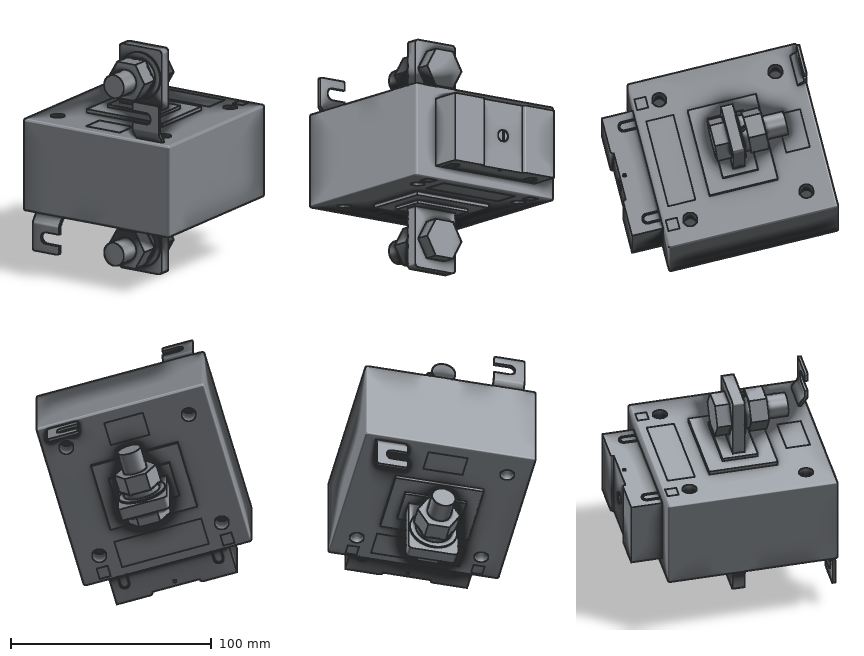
import cadquery as cq
import math


HOUSING_SIZE = 87.0
HOUSING_HEIGHT = 47.9
HOUSING_EDGE_RADIUS = 1.3
FACE_Z = HOUSING_HEIGHT / 2
FRONT_Y = -HOUSING_SIZE / 2
BACK_Y = HOUSING_SIZE / 2

LOWER_PAD_X = 45.0
LOWER_PAD_Y = 35.1
LOWER_PAD_THICKNESS = 1.9
UPPER_PAD_X = 31.3
UPPER_PAD_Y = 18.0
UPPER_PAD_THICKNESS = 1.5

CORNER_HOLE_DIAMETER = 7.1
CORNER_HOLE_DEPTH = 11.6
CORNER_HOLE_X = 31.7
CORNER_HOLE_Y = 29.8
LABEL_DEPTH = 0.1
NAMEPLATE_Y_SIZE = 14.0
NAMEPLATE_Y = 31.8
BAR_LABEL_X_SIZE = 20.0
BAR_LABEL_Y_SIZE = 12.1
BAR_LABEL_Y = -31.0
WIRE_LABEL_SIZE = 5.7
WIRE_LABEL_X = 32.0
WIRE_LABEL_Y = 38.9

BLOCK_X = 62.2
BLOCK_DEPTH = 16.0
BLOCK_HEIGHT = 34.4
BLOCK_BACK_Y = BACK_Y + BLOCK_DEPTH
NOTCH_WIDTH = 24.5
NOTCH_DEPTH = 1.5
NOTCH_EDGE_RADIUS = 1.4
SEAL_HOLE_DIAMETER = 1.5
SEAL_HOLE_Y = 55.6
SCREW_HEAD_DIAMETER = 5.9
SCREW_HEAD_HEIGHT = 0.7
SCREW_HEAD_RADIUS = 0.3
SCREW_SLOT_WIDTH = 0.9
KNOCKOUT_X = 24.3
KNOCKOUT_OUTER_WIDTH = 5.2
KNOCKOUT_INNER_WIDTH = 3.8
KNOCKOUT_STRAIGHT = 6.4
KNOCKOUT_GROOVE_DEPTH = 0.3

BAR_LENGTH = 116.5
BAR_WIDTH = 25.2
BAR_THICKNESS = 6.0
BAR_CORNER_RADIUS = 2.0

BOLT_Z = 43.6
BOLT_DIAMETER = 11.9
HEX_ACROSS_FLATS = 18.8
HEX_ACROSS_CORNERS = HEX_ACROSS_FLATS / math.cos(math.pi / 6)
HEAD_HEIGHT = 7.5
BOLT_LENGTH = 30.0
WASHER_DIAMETER = 24.0
WASHER_THICKNESS = 0.8
SPRING_RING_DIAMETER = 18.3
SPRING_RING_THICKNESS = 3.0
SPRING_GAP = 1.9
SPRING_GAP_ANGLE = 25.0
NUT_HEIGHT = 9.1

STRIP_THICKNESS = 1.5
BRACKET_X_MIN = 22.0
BRACKET_X_MAX = 37.6
BRACKET_TOP_Z = 43.6
BRACKET_CORNER_RADIUS = 1.2
UPPER_BEND_Z = 29.6
BEND_RADIUS = 1.5 * STRIP_THICKNESS
BEND_ANGLE = math.radians(38)
BRACKET_SLOT_WIDTH = 6.0
BRACKET_SLOT_Z = 36.0
BRACKET_SLOT_END_X = 32.7


def both_faces(feature):
    """A feature at the top of the housing, with its copy turned half a turn about Y."""
    return feature.add(feature.rotate((0, 0, 0), (0, 1, 0), 180)).combine()


def face_plate(x_size, y_size, thickness, bottom_z, x=0, y=0):
    plate = cq.Workplane("XY").box(x_size, y_size, thickness, centered=(True, True, False))
    return plate.translate((x, y, bottom_z))


def block_notch():
    """The wide shallow notch in the back of the wiring block, with rounded mouth edges."""
    half_width = NOTCH_WIDTH / 2
    floor_y = BLOCK_BACK_Y - NOTCH_DEPTH
    round_start_y = BLOCK_BACK_Y - NOTCH_EDGE_RADIUS
    mouth_half_width = half_width + NOTCH_EDGE_RADIUS
    return (
        cq.Workplane("XY")
        .moveTo(-half_width, floor_y)
        .lineTo(half_width, floor_y)
        .lineTo(half_width, round_start_y)
        .radiusArc((mouth_half_width, BLOCK_BACK_Y), NOTCH_EDGE_RADIUS)
        .lineTo(-mouth_half_width, BLOCK_BACK_Y)
        .radiusArc((-half_width, round_start_y), NOTCH_EDGE_RADIUS)
        .close()
        .extrude(BLOCK_HEIGHT / 2, both=True)
    )


def arch(width, x, depth):
    """A round-topped panel that starts at the back of the housing, cut into the top of the block."""
    half_width = width / 2
    spring_y = BACK_Y + KNOCKOUT_STRAIGHT
    return (
        cq.Workplane("XY")
        .workplane(offset=BLOCK_HEIGHT / 2 - depth)
        .moveTo(x - half_width, BACK_Y)
        .lineTo(x - half_width, spring_y)
        .threePointArc((x, spring_y + half_width), (x + half_width, spring_y))
        .lineTo(x + half_width, BACK_Y)
        .close()
        .extrude(depth)
    )


def screw_head():
    """The slotted head of the cover screw, which stands on the floor of the notch."""
    head = (
        cq.Workplane("XZ", origin=(0, BLOCK_BACK_Y - NOTCH_DEPTH, 0))
        .circle(SCREW_HEAD_DIAMETER / 2)
        .extrude(-SCREW_HEAD_HEIGHT)
        .faces(">Y")
        .edges()
        .fillet(SCREW_HEAD_RADIUS)
    )
    slot = (
        cq.Workplane("XY")
        .box(SCREW_SLOT_WIDTH, SCREW_HEAD_HEIGHT, SCREW_HEAD_DIAMETER, centered=(True, False, True))
        .translate((0, BLOCK_BACK_Y - NOTCH_DEPTH, 0))
    )
    return head.cut(slot)


def make_wiring_block():
    block = (
        cq.Workplane("XY")
        .box(BLOCK_X, BLOCK_DEPTH + HOUSING_EDGE_RADIUS, BLOCK_HEIGHT, centered=(True, False, True))
        .translate((0, BACK_Y - HOUSING_EDGE_RADIUS, 0))
        .cut(block_notch())
    )
    seal_hole = (
        cq.Workplane("XY")
        .center(0, SEAL_HOLE_Y)
        .circle(SEAL_HOLE_DIAMETER / 2)
        .extrude(BLOCK_HEIGHT / 2, both=True)
    )
    block = block.cut(seal_hole)
    for x in (-KNOCKOUT_X, KNOCKOUT_X):
        groove = arch(KNOCKOUT_OUTER_WIDTH, x, KNOCKOUT_GROOVE_DEPTH).cut(
            arch(KNOCKOUT_INNER_WIDTH, x, KNOCKOUT_GROOVE_DEPTH)
        )
        block = block.cut(both_faces(groove))
    return block.union(screw_head())


def make_housing(busbar):
    housing = (
        cq.Workplane("XY")
        .box(HOUSING_SIZE, HOUSING_SIZE, HOUSING_HEIGHT)
        .edges()
        .fillet(HOUSING_EDGE_RADIUS)
        .union(make_wiring_block())
    )

    lower_pad = face_plate(LOWER_PAD_X, LOWER_PAD_Y, LOWER_PAD_THICKNESS, FACE_Z)
    upper_pad = face_plate(UPPER_PAD_X, UPPER_PAD_Y, UPPER_PAD_THICKNESS, FACE_Z + LOWER_PAD_THICKNESS)
    housing = housing.union(both_faces(lower_pad.union(upper_pad)))

    corner_holes = (
        cq.Workplane("XY", origin=(0, 0, FACE_Z))
        .rect(2 * CORNER_HOLE_X, 2 * CORNER_HOLE_Y, forConstruction=True)
        .vertices()
        .circle(CORNER_HOLE_DIAMETER / 2)
        .extrude(-CORNER_HOLE_DEPTH)
    )
    housing = housing.cut(both_faces(corner_holes))

    label_panels = [
        (LOWER_PAD_X, NAMEPLATE_Y_SIZE, 0, NAMEPLATE_Y),
        (BAR_LABEL_X_SIZE, BAR_LABEL_Y_SIZE, 0, BAR_LABEL_Y),
        (WIRE_LABEL_SIZE, WIRE_LABEL_SIZE, -WIRE_LABEL_X, WIRE_LABEL_Y),
        (WIRE_LABEL_SIZE, WIRE_LABEL_SIZE, WIRE_LABEL_X, WIRE_LABEL_Y),
    ]
    for x_size, y_size, x, y in label_panels:
        panel = face_plate(x_size, y_size, LABEL_DEPTH, FACE_Z - LABEL_DEPTH, x, y)
        housing = housing.cut(both_faces(panel))

    return housing.cut(busbar)


def make_busbar():
    """One bar through the whole housing, drilled for a bolt at each end."""
    bar = (
        cq.Workplane("XY")
        .box(BAR_WIDTH, BAR_THICKNESS, BAR_LENGTH)
        .edges("|Y")
        .fillet(BAR_CORNER_RADIUS)
    )
    bolt_holes = (
        cq.Workplane("XZ")
        .pushPoints([(0, BOLT_Z), (0, -BOLT_Z)])
        .circle(BOLT_DIAMETER / 2)
        .extrude(BAR_THICKNESS / 2, both=True)
    )
    return bar.cut(bolt_holes)


def make_bolt(z):
    """Hexagon bolt with its head on the back of the busbar and its shank toward the front."""
    under_head = cq.Workplane("XZ", origin=(0, BAR_THICKNESS / 2, z))
    head = under_head.polygon(6, HEX_ACROSS_CORNERS).extrude(-HEAD_HEIGHT)
    shank = under_head.circle(BOLT_DIAMETER / 2).extrude(BOLT_LENGTH)
    return head.union(shank)


def make_nut(z):
    """Nut with its flat washer and split spring ring, clamped on the front of the busbar."""
    washer_y = -BAR_THICKNESS / 2
    ring_y = washer_y - WASHER_THICKNESS
    nut_y = ring_y - SPRING_RING_THICKNESS
    stack_height = WASHER_THICKNESS + SPRING_RING_THICKNESS + NUT_HEIGHT

    washer = cq.Workplane("XZ", origin=(0, washer_y, z)).circle(WASHER_DIAMETER / 2).extrude(WASHER_THICKNESS)
    ring = (
        cq.Workplane("XZ", origin=(0, ring_y, z))
        .circle(SPRING_RING_DIAMETER / 2)
        .extrude(SPRING_RING_THICKNESS)
    )
    gap = (
        cq.Workplane("XY")
        .box(SPRING_GAP, 2 * SPRING_RING_THICKNESS, SPRING_RING_DIAMETER, centered=(True, True, False))
        .rotate((0, 0, 0), (0, 0, 1), SPRING_GAP_ANGLE)
        .translate((0, ring_y - SPRING_RING_THICKNESS / 2, z))
    )
    hexagon = cq.Workplane("XZ", origin=(0, nut_y, z)).polygon(6, HEX_ACROSS_CORNERS).extrude(NUT_HEIGHT)
    bore = cq.Workplane("XZ", origin=(0, washer_y, z)).circle(BOLT_DIAMETER / 2).extrude(stack_height)
    return ring.cut(gap).union(washer).union(hexagon).cut(bore)


def make_bracket():
    """Bracket on the top face: two opposite bends set the upright forward, flush with the front."""
    bend_rise = BEND_RADIUS * math.sin(BEND_ANGLE)
    bend_shift = BEND_RADIUS * (1 - math.cos(BEND_ANGLE))
    half_bend_rise = BEND_RADIUS * math.sin(BEND_ANGLE / 2)
    half_bend_shift = BEND_RADIUS * (1 - math.cos(BEND_ANGLE / 2))
    slope_rise = UPPER_BEND_Z - FACE_Z - 2 * bend_rise
    slope_shift = slope_rise * math.tan(BEND_ANGLE)

    upright_y = FRONT_Y + STRIP_THICKNESS / 2
    foot_y = upright_y + 2 * bend_shift + slope_shift
    middle_x = (BRACKET_X_MIN + BRACKET_X_MAX) / 2
    path = (
        cq.Workplane("YZ", origin=(middle_x, 0, 0))
        .moveTo(foot_y, FACE_Z)
        .threePointArc(
            (foot_y - half_bend_shift, FACE_Z + half_bend_rise),
            (foot_y - bend_shift, FACE_Z + bend_rise),
        )
        .lineTo(upright_y + bend_shift, UPPER_BEND_Z - bend_rise)
        .threePointArc(
            (upright_y + half_bend_shift, UPPER_BEND_Z - half_bend_rise),
            (upright_y, UPPER_BEND_Z),
        )
        .lineTo(upright_y, BRACKET_TOP_Z)
    )
    strip = (
        cq.Workplane("XY", origin=(middle_x, foot_y, FACE_Z))
        .rect(BRACKET_X_MAX - BRACKET_X_MIN, STRIP_THICKNESS)
        .sweep(path)
        .faces(">Z")
        .edges("|Y")
        .fillet(BRACKET_CORNER_RADIUS)
    )

    slot_radius = BRACKET_SLOT_WIDTH / 2
    slot_centre_x = BRACKET_SLOT_END_X - slot_radius
    slot = (
        cq.Workplane("XZ", origin=(0, upright_y, BRACKET_SLOT_Z))
        .moveTo(BRACKET_X_MIN, slot_radius)
        .lineTo(slot_centre_x, slot_radius)
        .threePointArc((BRACKET_SLOT_END_X, 0), (slot_centre_x, -slot_radius))
        .lineTo(BRACKET_X_MIN, -slot_radius)
        .close()
        .extrude(STRIP_THICKNESS, both=True)
    )
    return strip.cut(slot)


busbar = make_busbar()
housing = make_housing(busbar)

bolts = []
nuts = []
for terminal_z in (BOLT_Z, -BOLT_Z):
    bolts.append(make_bolt(terminal_z).val())
    nuts.append(make_nut(terminal_z).val())

brackets = []
for turn in (0, 180):
    brackets.append(make_bracket().rotate((0, 0, 0), (0, 1, 0), turn).val())

result = cq.Compound.makeCompound([housing.val(), busbar.val(), *bolts, *nuts, *brackets])